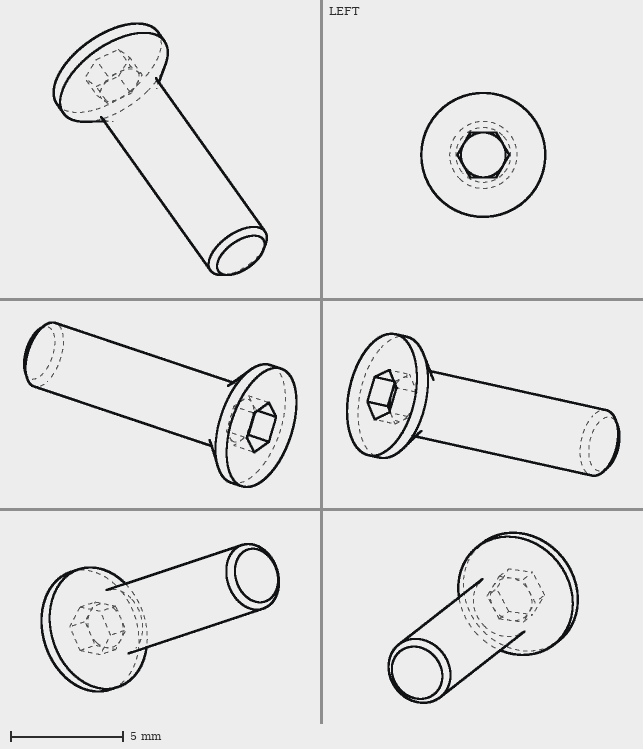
import cadquery as cq
import math

length = 12.0
head_radius = 2.77
head_rim = 0.6
shank_radius = 1.5
neck_fillet = 0.12
tip_chamfer_length = 0.28
tip_radius = 1.22

socket_flats = 2.0
socket_depth = 1.1
socket_cone_angle = 120.0

head_height = head_rim + head_radius - shank_radius
fillet_turn = math.radians(45)
fillet_tangent = neck_fillet * math.tan(fillet_turn / 2)
fillet_centre_x = head_height + fillet_tangent
fillet_centre_r = shank_radius + neck_fillet


def neck_point(angle):
    """Point on the neck fillet, at an angle back from the shank tangency."""
    return (
        fillet_centre_x - neck_fillet * math.sin(angle),
        fillet_centre_r - neck_fillet * math.cos(angle),
    )


def make_body():
    """Revolve the screw's half outline about the X axis."""
    outline = (
        cq.Workplane("XY")
        .moveTo(0, 0)
        .lineTo(0, head_radius)
        .lineTo(head_rim, head_radius)
        .lineTo(*neck_point(fillet_turn))
        .threePointArc(neck_point(fillet_turn / 2), neck_point(0))
        .lineTo(length - tip_chamfer_length, shank_radius)
        .lineTo(length, tip_radius)
        .lineTo(length, 0)
        .close()
    )
    return outline.revolve(360, (0, 0, 0), (1, 0, 0))


def make_socket():
    """Hexagonal recess with corners on the Y axis, plus its conical bottom."""
    across_corners = socket_flats / math.cos(math.radians(30))
    hexagon = cq.Workplane("YZ").polygon(6, across_corners).extrude(socket_depth)
    cone_radius = socket_flats / 2
    cone_depth = cone_radius / math.tan(math.radians(socket_cone_angle / 2))
    cone = (
        cq.Workplane("XY")
        .moveTo(socket_depth, 0)
        .lineTo(socket_depth, cone_radius)
        .lineTo(socket_depth + cone_depth, 0)
        .close()
        .revolve(360, (0, 0, 0), (1, 0, 0))
    )
    return hexagon.union(cone)


result = make_body().cut(make_socket())